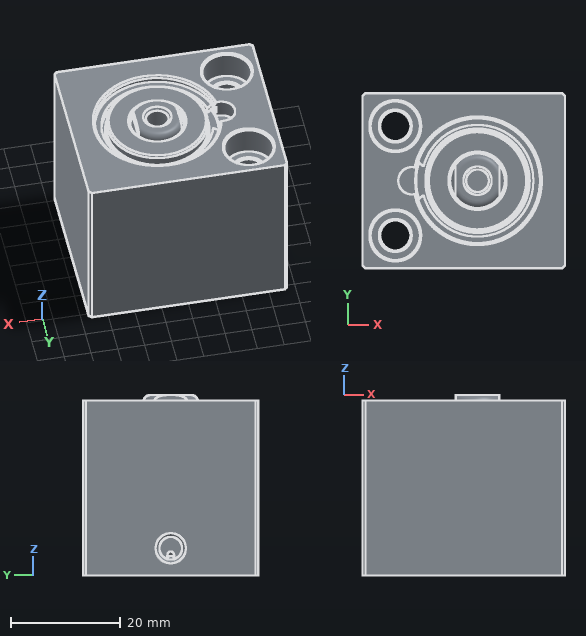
import cadquery as cq
import math

LENGTH = 37.0
WIDTH = 32.0
HEIGHT = 32.0
CORNER = 0.5

BOLT_X = -12.5
BOLT_PITCH = 19.98
BOLT_DIAMETER = 5.5
HEAD_DIAMETER = 9.0
HEAD_DEPTH = 5.7
HOLE_CHAMFER = 0.25

AXIS_X = 2.5
BORE_DIAMETER = 22.8
BORE_CHAMFER = 0.37
RELIEF_X = -9.47
RELIEF_DIAMETER = 5.0
RELIEF_DEPTH = 3.5

COLLAR_DIAMETER = 18.5
COLLAR_CHAMFER = 0.37
COLLAR_TOP = HEIGHT - 0.1
FLANGE_DEPTH = 7.4
RING_TOP = HEIGHT - 1.35
RING_THICKNESS = 1.2
RING_INNER_DIAMETER = 20.42
RING_OUTER_DIAMETER = 23.68
FLANGE_TOP = RING_TOP - RING_THICKNESS
FLANGE_CHAMFER = 0.2
GLAND_BOTTOM = HEIGHT - FLANGE_DEPTH
COLLAR_STEP_DIAMETER = 19.1
COLLAR_STEP_HEIGHT = 0.3
ROD_HOLE_CHAMFER = 0.35

GAP_INNER_HALF_WIDTH = 2.7
GAP_INNER_REACH = 9.95
GAP_SLANT = 39.0
GAP_OVERRUN = 0.37

ROD_DIAMETER = 10.0
ROD_TOP = 33.0
ROD_FILLET = 1.25
FLATS_WIDTH = 8.0
FLATS_BOTTOM = COLLAR_TOP - 0.75
ROD_HOLE_DIAMETER = 4.15
ROD_HOLE_DEPTH = 7.4
ROD_COUNTERSINK = 0.5

PORT_Z = 5.0
PORT_DIAMETER = 4.15
PORT_DEPTH = 6.65
PORT_MOUTH_DIAMETER = 5.5
PASSAGE_DIAMETER = 1.3
PASSAGE_Z = PORT_Z - 1.48
PASSAGE_DEPTH = 0.5
PASSAGE_OVERLAP = 0.75


def cylinder(x, y, bottom, diameter, height):
    """Upright cylinder standing on the given level."""
    return cq.Workplane("XY", origin=(x, y, bottom)).circle(diameter / 2).extrude(height)


def mouth_cone(x, y, top, diameter, chamfer):
    """Cutter for a 45 degree chamfer around the top of a round hole."""
    radius = diameter / 2
    frustum = cq.Solid.makeCone(radius, radius + chamfer, chamfer, cq.Vector(x, y, top - chamfer))
    return cq.Workplane(obj=frustum)


def make_bolt_hole(y):
    """Cutter for a through hole with a counterbore, both with chamfered mouths."""
    seat = HEIGHT - HEAD_DEPTH
    return (
        cylinder(BOLT_X, y, 0, BOLT_DIAMETER, HEIGHT)
        .union(cylinder(BOLT_X, y, seat, HEAD_DIAMETER, HEAD_DEPTH))
        .union(mouth_cone(BOLT_X, y, HEIGHT, HEAD_DIAMETER, HOLE_CHAMFER))
        .union(mouth_cone(BOLT_X, y, seat, BOLT_DIAMETER, HOLE_CHAMFER))
    )


def make_port():
    """Cutter for the port with its countersunk mouth and a small passage sloping down at 45 degrees."""
    mouth_chamfer = (PORT_MOUTH_DIAMETER - PORT_DIAMETER) / 2
    profile = [
        (-LENGTH / 2, PORT_Z),
        (-LENGTH / 2, PORT_Z + PORT_MOUTH_DIAMETER / 2),
        (-LENGTH / 2 + mouth_chamfer, PORT_Z + PORT_DIAMETER / 2),
        (-LENGTH / 2 + PORT_DEPTH, PORT_Z + PORT_DIAMETER / 2),
        (-LENGTH / 2 + PORT_DEPTH, PORT_Z),
    ]
    port = cq.Workplane("XZ").polyline(profile).close().revolve(360, (0, PORT_Z, 0), (1, PORT_Z, 0))
    downhill = cq.Vector(1, 0, -1).normalized()
    mouth = cq.Vector(-LENGTH / 2 + PORT_DEPTH, 0, PASSAGE_Z)
    passage = cq.Workplane(cq.Plane(mouth - downhill * PASSAGE_OVERLAP, (0, 1, 0), downhill))
    passage = passage.circle(PASSAGE_DIAMETER / 2).extrude(PASSAGE_OVERLAP + PASSAGE_DEPTH)
    return port.union(passage)


def make_housing():
    """Block with bolt holes, gland seat, ring groove, relief and port."""
    block = cq.Workplane("XY").box(LENGTH, WIDTH, HEIGHT, centered=(True, True, False))
    block = block.edges("|Z").chamfer(CORNER)
    for side in (-1, 1):
        block = block.cut(make_bolt_hole(side * BOLT_PITCH / 2))
    return (
        block.cut(cylinder(AXIS_X, 0, GLAND_BOTTOM, BORE_DIAMETER, FLANGE_DEPTH))
        .cut(mouth_cone(AXIS_X, 0, HEIGHT, BORE_DIAMETER, BORE_CHAMFER))
        .cut(cylinder(AXIS_X, 0, FLANGE_TOP, RING_OUTER_DIAMETER, RING_THICKNESS))
        .cut(cylinder(RELIEF_X, 0, HEIGHT - RELIEF_DEPTH, RELIEF_DIAMETER, RELIEF_DEPTH))
        .cut(make_port())
    )


def make_ring_gap():
    """Cutter for the ring gap, whose sides spread outwards."""
    inner_x = AXIS_X - GAP_INNER_REACH
    outer_x = AXIS_X - RING_OUTER_DIAMETER / 2 - GAP_OVERRUN
    outer_half_width = GAP_INNER_HALF_WIDTH + (inner_x - outer_x) * math.tan(math.radians(GAP_SLANT))
    collar_x = AXIS_X - COLLAR_DIAMETER / 2
    return (
        cq.Workplane("XY", origin=(0, 0, FLANGE_TOP))
        .moveTo(collar_x, -GAP_INNER_HALF_WIDTH)
        .lineTo(inner_x, -GAP_INNER_HALF_WIDTH)
        .lineTo(outer_x, -outer_half_width)
        .lineTo(outer_x, outer_half_width)
        .lineTo(inner_x, GAP_INNER_HALF_WIDTH)
        .lineTo(collar_x, GAP_INNER_HALF_WIDTH)
        .close()
        .extrude(RING_THICKNESS)
    )


def make_gland():
    """Flange, collar and split retaining ring, with a hole for the rod."""
    flange = cylinder(AXIS_X, 0, GLAND_BOTTOM, BORE_DIAMETER, FLANGE_TOP - GLAND_BOTTOM)
    flange = flange.faces(">Z").chamfer(FLANGE_CHAMFER)
    ring = cylinder(AXIS_X, 0, FLANGE_TOP, RING_OUTER_DIAMETER, RING_THICKNESS)
    ring = ring.cut(cylinder(AXIS_X, 0, FLANGE_TOP, RING_INNER_DIAMETER, RING_THICKNESS))
    ring = ring.cut(make_ring_gap())
    step = cylinder(AXIS_X, 0, FLANGE_TOP, COLLAR_STEP_DIAMETER, COLLAR_STEP_HEIGHT)
    collar = cylinder(AXIS_X, 0, FLANGE_TOP, COLLAR_DIAMETER, COLLAR_TOP - FLANGE_TOP)
    collar = collar.faces(">Z").chamfer(COLLAR_CHAMFER)
    return (
        flange.union(ring)
        .union(step)
        .union(collar)
        .cut(cylinder(AXIS_X, 0, GLAND_BOTTOM, ROD_DIAMETER, HEIGHT - GLAND_BOTTOM))
        .cut(mouth_cone(AXIS_X, 0, COLLAR_TOP, ROD_DIAMETER, ROD_HOLE_CHAMFER))
    )


def make_rod():
    """Rod with a rounded end, two flats that run out at 45 degrees, and an end hole."""
    rod = cylinder(AXIS_X, 0, GLAND_BOTTOM, ROD_DIAMETER, ROD_TOP - GLAND_BOTTOM)
    rod = rod.faces(">Z").edges().fillet(ROD_FILLET)
    flat_x = FLATS_WIDTH / 2
    outer_x = ROD_DIAMETER / 2
    run_out = outer_x - flat_x
    for side in (-1, 1):
        flat = (
            cq.Workplane("XZ", origin=(AXIS_X, outer_x, 0))
            .moveTo(side * flat_x, FLATS_BOTTOM)
            .lineTo(side * flat_x, ROD_TOP)
            .lineTo(side * outer_x, ROD_TOP)
            .lineTo(side * outer_x, FLATS_BOTTOM - run_out)
            .close()
            .extrude(ROD_DIAMETER)
        )
        rod = rod.cut(flat)
    hole = cylinder(AXIS_X, 0, ROD_TOP - ROD_HOLE_DEPTH, ROD_HOLE_DIAMETER, ROD_HOLE_DEPTH)
    return rod.cut(hole).cut(mouth_cone(AXIS_X, 0, ROD_TOP, ROD_HOLE_DIAMETER, ROD_COUNTERSINK))


housing = make_housing()
gland = make_gland()
rod = make_rod()

result = cq.Compound.makeCompound([housing.val(), gland.val(), rod.val()])